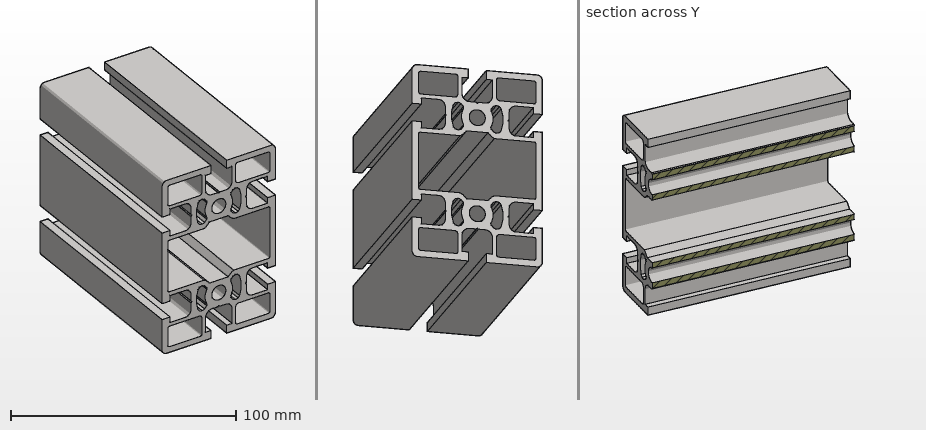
import cadquery as cq
import math

LENGTH = 100.0
WIDTH = 60.0
HEIGHT = 90.0
EDGE_RADIUS = 2.5
WALL = 3.0

CORE_PITCH = 45.0
CORE_Z = CORE_PITCH / 2
CORE_HOLE_DIAMETER = 7.4

SLOT_OPENING = 8.3
LIP_THICKNESS = 4.2
SLOT_DEPTH = 15.3
SLOT_WIDTH = 14.0
SIDE_SLOT_RADIUS = 3.2
END_SLOT_RADIUS = 3.5
GROOVE_WIDTH = 1.0
GROOVE_DEPTH = 0.4

CHAMBER_INNER_Y = 8.9
CHAMBER_INNER_Z = 31.3
CHAMBER_RADIUS = 1.0
CHAMBER_CORE_RADIUS = 1.6

CENTRE_HALF_HEIGHT = 13.4
CENTRE_RADIUS = 0.8
RELIEF_HEIGHT = 2.5
RELIEF_BASE_WIDTH = 15.8
RELIEF_TOP_WIDTH = 9.8
RELIEF_KNEE_WIDTH = 13.6
RELIEF_KNEE_HEIGHT = 0.6

POCKET_HALF_OUTLINE = [
    (7.25, 1.0),
    (6.75, 2.8),
    (6.3, 3.8),
    (6.4, 4.7),
    (7.5, 6.0),
    (8.8, 6.5),
    (10.2, 6.1),
    (11.0, 5.1),
    (11.8, 1.8),
]


def profile_plane():
    """Cross-section plane: local x is Y, local y is Z, extruding along +X."""
    return cq.Workplane("YZ", origin=(-LENGTH / 2, 0, 0))


def block(width, height, corner_radius):
    """Full-length bar of rectangular section with rounded long edges."""
    bar = profile_plane().rect(width, height).extrude(LENGTH)
    return bar.edges("|X").fillet(corner_radius)


def t_slot(face_offset, corner_radius):
    """Full-length T-slot opening in the +Z direction, centred on Y = 0."""
    floor = face_offset - SLOT_DEPTH
    lip = face_offset - LIP_THICKNESS
    half = SLOT_WIDTH / 2
    half_opening = SLOT_OPENING / 2
    half_groove = GROOVE_WIDTH / 2
    corner = corner_radius * (1 - math.sqrt(0.5))
    return (
        profile_plane()
        .moveTo(-half_opening, face_offset)
        .lineTo(-half_opening, lip)
        .lineTo(-half, lip)
        .lineTo(-half, floor + corner_radius)
        .threePointArc((-half + corner, floor + corner), (-half + corner_radius, floor))
        .lineTo(-half_groove, floor)
        .lineTo(0, floor - GROOVE_DEPTH)
        .lineTo(half_groove, floor)
        .lineTo(half - corner_radius, floor)
        .threePointArc((half - corner, floor + corner), (half, floor + corner_radius))
        .lineTo(half, lip)
        .lineTo(half_opening, lip)
        .lineTo(half_opening, face_offset)
        .close()
        .extrude(LENGTH)
    )


def curved_pocket():
    """Full-length curved pocket on the +Y side of the origin."""
    lower_half = [(y, -z) for y, z in reversed(POCKET_HALF_OUTLINE)]
    return profile_plane().polyline(POCKET_HALF_OUTLINE + lower_half).close().extrude(LENGTH)


def corner_chamber(y_side):
    """Closed chamber in the upper corner on the given Y side (+1 or -1)."""
    outer_y = WIDTH / 2 - WALL
    outer_z = HEIGHT / 2 - WALL
    chamber = (
        profile_plane()
        .center(y_side * (outer_y + CHAMBER_INNER_Y) / 2, (outer_z + CHAMBER_INNER_Z) / 2)
        .rect(outer_y - CHAMBER_INNER_Y, outer_z - CHAMBER_INNER_Z)
        .extrude(LENGTH)
    )
    core_corner = cq.selectors.NearestToPointSelector((0, y_side * CHAMBER_INNER_Y, CHAMBER_INNER_Z))
    long_edges = cq.selectors.StringSyntaxSelector("|X")
    chamber = chamber.edges(long_edges - core_corner).fillet(CHAMBER_RADIUS)
    return chamber.edges(core_corner).fillet(CHAMBER_CORE_RADIUS)


def core_relief():
    """Recess above the central chamber, with bent flanks, reaching down to mid-height."""
    half_outline = [
        (RELIEF_BASE_WIDTH / 2, 0),
        (RELIEF_BASE_WIDTH / 2, CENTRE_HALF_HEIGHT),
        (RELIEF_KNEE_WIDTH / 2, CENTRE_HALF_HEIGHT + RELIEF_KNEE_HEIGHT),
        (RELIEF_TOP_WIDTH / 2, CENTRE_HALF_HEIGHT + RELIEF_HEIGHT),
    ]
    mirrored_half = [(-y, z) for y, z in reversed(half_outline)]
    return profile_plane().polyline(half_outline + mirrored_half).close().extrude(LENGTH)


def turn(body, degrees):
    """Rotate a body about the X axis."""
    return body.rotate((0, 0, 0), (1, 0, 0), degrees)


result = block(WIDTH, HEIGHT, EDGE_RADIUS)
result = result.cut(block(WIDTH - 2 * WALL, 2 * CENTRE_HALF_HEIGHT, CENTRE_RADIUS))

side_slot = t_slot(WIDTH / 2, SIDE_SLOT_RADIUS)
core_hole = profile_plane().circle(CORE_HOLE_DIAMETER / 2).extrude(LENGTH)
upper_cuts = [
    t_slot(HEIGHT / 2, END_SLOT_RADIUS),
    core_relief(),
    core_hole.translate((0, 0, CORE_Z)),
]
for y_side in (1, -1):
    upper_cuts.append(turn(side_slot, -90 * y_side).translate((0, 0, CORE_Z)))
    upper_cuts.append(turn(curved_pocket(), 90 - 90 * y_side).translate((0, 0, CORE_Z)))
    upper_cuts.append(corner_chamber(y_side))

for cutter in upper_cuts:
    result = result.cut(cutter)
    result = result.cut(turn(cutter, 180))